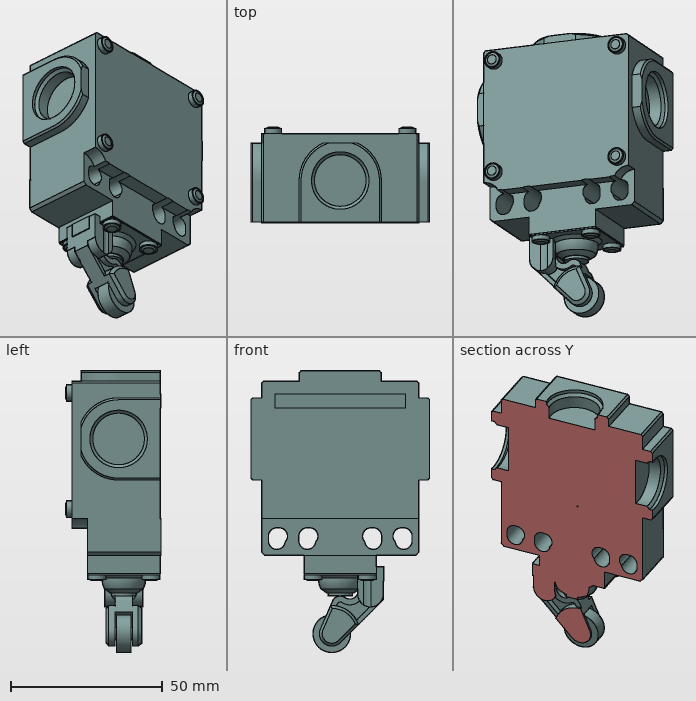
import cadquery as cq
import math


OVERALL_WIDTH = 59.0
OVERALL_HEIGHT = 93
OVERALL_TOP = 60.9
OVERALL_BOTTOM = OVERALL_TOP - OVERALL_HEIGHT

HOUSING_WIDTH = 51.9
HOUSING_HEIGHT = 57.5
BODY_DEPTH = 24.1
COVER_DEPTH = 29.2
COVER_BOTTOM = 8.8
COVER_NOTCH_RADIUS = 5.6
EDGE_CHAMFER = 0.65
RAISED = 0.3
OVERLAP = 0.9

FOOT_HEIGHT = 12.1
FOOT_CHAMFER = 1.0
MOUNT_HOLE_DIAMETER = 5.5
MOUNT_HOLE_OFFSETS = (10.9, 20.9)
MOUNT_HOLE_LOW = 4.7
MOUNT_HOLE_RISE = 1.6
MOUNT_HOLE_SHIFT = 0.7

LABEL_WIDTH = 43.05
LABEL_HEIGHT = 4.6
LABEL_CENTER_Z = 50.9

PORT_PAD_RADIUS = 13.6
PORT_CENTER_Y = 13.8
PORT_PAD_BACK = 26.1
PORT_CENTER_Z = 38.4
PORT_BORE_DIAMETER = 17.0
PORT_RECESS_DIAMETER = 19.0
PORT_RECESS_DEPTH = 1.1
PORT_DEPTH = 6.2

COVER_SCREW_DIAMETER = 5.6
COVER_SCREW_X = 22.1
COVER_SCREW_LEVELS = (15.25, 53.6)
COVER_SCREW_RIM = 1.8
COVER_SCREW_HEIGHT = 2.1
SCREW_CROWN_INSET = 1.2

HEAD_WIDTH = 23.9
HEAD_HEIGHT = 5.95
HEAD_PLATE_BOTTOM = -6.4
HEAD_PLATE_INSET = 0.1
HEAD_SCREW_DIAMETER = 5.95
HEAD_SCREW_OFFSET = 8.9
HEAD_SCREW_RIM = 1.5
HEAD_SCREW_HEIGHT = 1.95
DOME_RADIUS = 7.2
DOME_FLARE_RADIUS = 8.5
DOME_TOP = -7.5
DOME_BULGE_Z = -8.7
DOME_SHOULDER = (6.4, -11.1)
DOME_FOOT = (4.4, -12.5)
PLUNGER_DIAMETER = 8.1
PLUNGER_TIP = -13.4

LEVER_Y = BODY_DEPTH / 2
ROLLER_RADIUS = 6.2
ROLLER_WIDTH = 4.8
ROLLER_X = -2.8
ROLLER_Z = OVERALL_BOTTOM + ROLLER_RADIUS
AXLE_DIAMETER = 4.1
FORK_END_RADIUS = 4.1
FORK_TOP_RADIUS = 9.3
FORK_WIDTH = 11.9
FORK_SLOT_WIDTH = 5.7
FORK_SLOT_RADIUS = 7.25
FORK_CHAMFER_IN = 0.9
FORK_CHAMFER_ACROSS = 1.2
BUMP_Z = -16.2
BUMP_RADIUS = 2.8
HOLLOW_X = 3.2
HOLLOW_Z = -11.6
RIM_THICKNESS = 1.95
LEVER_RIGHT = 14.2
LOWER_EDGE_ANGLE = 45
LEVER_WIDTH = 5.8
LEVER_WEB_WIDTH = 1.8
LOWER_FLANGE_THICKNESS = 1.5

PIVOT_X = 9.95
PIVOT_Z = -12.8
PIVOT_RADIUS = 4.2
PIVOT_TOP = -3.7
PIVOT_WIDTH = 12.6
PIVOT_GROOVE_DIAMETER = 5.8
PIVOT_DISH_TOP = -12.5
PIVOT_DISH_BOTTOM = -15.8
PIVOT_DISH_BOTTOM_RADIUS = 6.6
PIVOT_TAB_WIDTH = 7.6
PIVOT_TAB_RIGHT = 14.5
PIVOT_TAB_BOTTOM = -8.5


def box(x0, x1, y0, y1, z0, z1):
    return cq.Workplane("XY").box(x1 - x0, y1 - y0, z1 - z0, centered=False).translate((x0, y0, z0))


def across_lever(outline, width):
    """Extrude an XZ outline to a width centred on the lever's middle plane."""
    return outline.extrude(width / 2, both=True).translate((0, LEVER_Y, 0))


def lever_disc(x, z, radius, width):
    return across_lever(cq.Workplane("XZ").center(x, z).circle(radius), width)


def housing():
    half = HOUSING_WIDTH / 2
    body = box(-half, half, 0, BODY_DEPTH, 0, HOUSING_HEIGHT)
    cover = box(-half, half, BODY_DEPTH - OVERLAP, COVER_DEPTH, COVER_BOTTOM, HOUSING_HEIGHT)
    notch_z = FOOT_HEIGHT - COVER_NOTCH_RADIUS
    for x in (-half, half):
        notch = cq.Workplane("XZ").center(x, notch_z).circle(COVER_NOTCH_RADIUS).extrude(-COVER_DEPTH)
        cover = cover.cut(notch)
    foot = box(-half, half, -RAISED, OVERLAP, 0, FOOT_HEIGHT)
    block = body.union(cover)
    block = block.faces(">Z").edges("|Y").chamfer(EDGE_CHAMFER)
    block = block.union(foot)
    block = block.faces("<Z").edges("|Y").chamfer(FOOT_CHAMFER)
    label = box(-LABEL_WIDTH / 2, LABEL_WIDTH / 2, -RAISED, OVERLAP,
                LABEL_CENTER_Z - LABEL_HEIGHT / 2, LABEL_CENTER_Z + LABEL_HEIGHT / 2)
    return block.union(label)


def round_hole(x, z):
    return (
        cq.Workplane("XZ", origin=(x, -OVERLAP, z)).circle(MOUNT_HOLE_DIAMETER / 2)
        .extrude(-COVER_DEPTH - OVERLAP)
    )


def mounting_hole(side, offset):
    """Short upright slot joined at its top to a short level slot toward the middle."""
    radius = MOUNT_HOLE_DIAMETER / 2
    x = side * offset
    shifted = x - side * MOUNT_HOLE_SHIFT
    low = MOUNT_HOLE_LOW
    high = MOUNT_HOLE_LOW + MOUNT_HOLE_RISE
    upright = box(x - radius, x + radius, -OVERLAP, COVER_DEPTH, low, high)
    level = box(min(x, shifted), max(x, shifted), -OVERLAP, COVER_DEPTH, high - radius, high + radius)
    hole = upright.union(level)
    for center in ((x, low), (x, high), (shifted, high)):
        hole = hole.union(round_hole(*center))
    return hole


def port_planes():
    """Top, left and right cable entries: face plane (local +Y is part +Y) and pad height."""
    side_height = (OVERALL_WIDTH - HOUSING_WIDTH) / 2
    half = OVERALL_WIDTH / 2
    center_y = PORT_CENTER_Y
    return [
        (cq.Plane((0, center_y, OVERALL_TOP), (1, 0, 0), (0, 0, 1)), OVERALL_TOP - HOUSING_HEIGHT),
        (cq.Plane((-half, center_y, PORT_CENTER_Z), (0, 0, 1), (-1, 0, 0)), side_height),
        (cq.Plane((half, center_y, PORT_CENTER_Z), (0, 0, -1), (1, 0, 0)), side_height),
    ]


def port_pad(plane, height):
    radius = PORT_PAD_RADIUS
    flat = PORT_PAD_BACK - PORT_CENTER_Y
    half_flat = math.sqrt(radius**2 - flat**2)
    diagonal = radius * math.sqrt(0.5)
    pad = (
        cq.Workplane(plane)
        .moveTo(-radius, -PORT_CENTER_Y)
        .lineTo(radius, -PORT_CENTER_Y)
        .lineTo(radius, 0)
        .threePointArc((diagonal, diagonal), (half_flat, flat))
        .lineTo(-half_flat, flat)
        .threePointArc((-diagonal, diagonal), (-radius, 0))
        .close()
        .extrude(-height - OVERLAP)
    )
    outer_face = pad.faces(cq.selectors.DirectionMinMaxSelector(plane.zDir))
    rim = outer_face.edges("not (<Y or >Y)")
    return rim.chamfer(EDGE_CHAMFER)


def port_bore(plane):
    bore = PORT_BORE_DIAMETER / 2
    recess = PORT_RECESS_DIAMETER / 2
    cone_end = PORT_RECESS_DEPTH + recess - bore
    profile = [
        (0, 0), (recess, 0), (recess, -PORT_RECESS_DEPTH),
        (bore, -cone_end), (bore, -PORT_DEPTH), (0, -PORT_DEPTH),
    ]
    section = cq.Plane(plane.origin, plane.xDir, plane.yDir * -1)
    return cq.Workplane(section).polyline(profile).close().revolve(360, (0, 0), (0, 1))


def screw(plane, diameter, rim, height):
    """Screw head with a conical crown, standing on a plane."""
    radius = diameter / 2
    crown = radius - SCREW_CROWN_INSET
    head = cq.Workplane(plane).circle(radius).extrude(rim)
    cone = cq.Workplane(plane).workplane(offset=rim).circle(radius - (height - rim))
    cone = cone.workplane(offset=height - rim).circle(crown).loft()
    root = cq.Workplane(plane).circle(crown).extrude(-OVERLAP)
    return head.union(cone).union(root)


def cover_screws():
    screws = cq.Workplane("XY")
    for x in (-COVER_SCREW_X, COVER_SCREW_X):
        for z in COVER_SCREW_LEVELS:
            plane = cq.Plane((x, COVER_DEPTH, z), (1, 0, 0), (0, 1, 0))
            screws = screws.add(screw(plane, COVER_SCREW_DIAMETER, COVER_SCREW_RIM, COVER_SCREW_HEIGHT))
    return screws.combine()


def actuator_head():
    half = HEAD_WIDTH / 2
    inset = HEAD_PLATE_INSET
    head = box(-half, half, 0, BODY_DEPTH, -HEAD_HEIGHT, OVERLAP)
    plate = box(-half + inset, half - inset, inset, BODY_DEPTH - inset, HEAD_PLATE_BOTTOM, 0)
    head = head.union(plate)
    for x in (-HEAD_SCREW_OFFSET, HEAD_SCREW_OFFSET):
        for y in (LEVER_Y - HEAD_SCREW_OFFSET, LEVER_Y + HEAD_SCREW_OFFSET):
            plane = cq.Plane((x, y, HEAD_PLATE_BOTTOM), (1, 0, 0), (0, 0, -1))
            head = head.union(screw(plane, HEAD_SCREW_DIAMETER, HEAD_SCREW_RIM, HEAD_SCREW_HEIGHT))
    return head


def plunger():
    tip_radius = PLUNGER_DIAMETER / 2
    return (
        cq.Workplane("XZ", origin=(0, LEVER_Y, 0))
        .moveTo(0, -HEAD_HEIGHT)
        .lineTo(DOME_FLARE_RADIUS, -HEAD_HEIGHT)
        .lineTo(DOME_FLARE_RADIUS, HEAD_PLATE_BOTTOM)
        .lineTo(DOME_RADIUS, DOME_TOP)
        .threePointArc((DOME_RADIUS, DOME_BULGE_Z), DOME_SHOULDER)
        .lineTo(*DOME_FOOT)
        .lineTo(tip_radius, DOME_FOOT[1])
        .lineTo(tip_radius, PLUNGER_TIP)
        .lineTo(0, PLUNGER_TIP)
        .close()
        .revolve(360, (0, 0), (0, 1))
    )


def lever_outline(bump_radius):
    """Lever seen along Y: fork end, bump, hollow and a lower edge rising to the pivot."""
    hollow_distance = math.hypot(HOLLOW_X, HOLLOW_Z - BUMP_Z)
    hollow_radius = hollow_distance - bump_radius
    along = (HOLLOW_X / hollow_distance, (HOLLOW_Z - BUMP_Z) / hollow_distance)
    blend = (bump_radius * along[0], BUMP_Z + bump_radius * along[1])
    hollow_bottom = (HOLLOW_X, HOLLOW_Z - hollow_radius)
    hollow_right = (HOLLOW_X + hollow_radius, HOLLOW_Z)

    def fork_point(angle):
        return (ROLLER_X + FORK_END_RADIUS * math.cos(angle), ROLLER_Z + FORK_END_RADIUS * math.sin(angle))

    reach_x = -ROLLER_X
    reach_z = BUMP_Z - ROLLER_Z
    taper = (FORK_END_RADIUS - bump_radius) / math.hypot(reach_x, reach_z)
    left_angle = math.atan2(reach_z, reach_x) + math.acos(taper)
    bump_left = (bump_radius * math.cos(left_angle), BUMP_Z + bump_radius * math.sin(left_angle))
    bump_top = (0, BUMP_Z + bump_radius)
    lower_angle = math.radians(LOWER_EDGE_ANGLE) + 1.5 * math.pi
    lower_right = fork_point(lower_angle)
    corner_z = lower_right[1] + (LEVER_RIGHT - lower_right[0]) * math.tan(math.radians(LOWER_EDGE_ANGLE))
    return (
        cq.Workplane("XZ")
        .moveTo(*bump_left)
        .threePointArc(bump_top, blend)
        .threePointArc(hollow_bottom, hollow_right)
        .lineTo(LEVER_RIGHT, HOLLOW_Z)
        .lineTo(LEVER_RIGHT, corner_z)
        .lineTo(*lower_right)
        .threePointArc(fork_point((left_angle + lower_angle) / 2), fork_point(left_angle))
        .close()
    )


def fork():
    full = across_lever(lever_outline(BUMP_RADIUS), FORK_WIDTH)
    cheeks = full.intersect(lever_disc(ROLLER_X, ROLLER_Z, FORK_TOP_RADIUS, FORK_WIDTH))
    for side in ("<Y", ">Y"):
        cheeks = cheeks.faces(side).chamfer(FORK_CHAMFER_IN, FORK_CHAMFER_ACROSS)
    return cheeks


def lever_pockets():
    """Recess on each side of the lever, leaving a rim along its top and a flange along its lower edge."""
    inside = across_lever(lever_outline(BUMP_RADIUS - RIM_THICKNESS), LEVER_WIDTH + OVERLAP)
    outer = across_lever(lever_outline(BUMP_RADIUS), LEVER_WIDTH + OVERLAP)
    slope = math.radians(LOWER_EDGE_ANGLE)
    above_flange = outer.translate(
        (-LOWER_FLANGE_THICKNESS * math.sin(slope), 0, LOWER_FLANGE_THICKNESS * math.cos(slope))
    )
    web = box(-OVERALL_WIDTH, OVERALL_WIDTH, LEVER_Y - LEVER_WEB_WIDTH / 2, LEVER_Y + LEVER_WEB_WIDTH / 2,
              OVERALL_BOTTOM, 0)
    return inside.intersect(above_flange).cut(web)


def pivot():
    """Round-ended block at the lever's pivot, grooved by the screw clearance and dished for the dome."""
    half = PIVOT_WIDTH / 2
    left = PIVOT_X - PIVOT_RADIUS
    block = lever_disc(PIVOT_X, PIVOT_Z, PIVOT_RADIUS, PIVOT_WIDTH)
    block = block.union(box(left, LEVER_RIGHT, LEVER_Y - half, LEVER_Y + half, PIVOT_Z, PIVOT_TOP))

    tab_half = PIVOT_TAB_WIDTH / 2
    tab = box(PIVOT_X, PIVOT_TAB_RIGHT, LEVER_Y - tab_half, LEVER_Y + tab_half, PIVOT_TAB_BOTTOM, PIVOT_TOP)
    block = block.union(tab)

    screw_centers = [(HEAD_SCREW_OFFSET, LEVER_Y + dy) for dy in (-HEAD_SCREW_OFFSET, HEAD_SCREW_OFFSET)]
    grooves = (
        cq.Workplane("XY").pushPoints(screw_centers)
        .circle(PIVOT_GROOVE_DIAMETER / 2).extrude(PIVOT_Z - 2 * PIVOT_RADIUS)
    )
    dish_profile = [
        (0, DOME_TOP), (DOME_RADIUS, DOME_TOP), (DOME_RADIUS, PIVOT_DISH_TOP),
        (PIVOT_DISH_BOTTOM_RADIUS, PIVOT_DISH_BOTTOM), (0, PIVOT_DISH_BOTTOM),
    ]
    dish = (
        cq.Workplane("XZ", origin=(0, LEVER_Y, 0)).polyline(dish_profile).close()
        .revolve(360, (0, 0), (0, 1))
    )
    return block.cut(grooves).cut(dish)


def lever():
    bar = across_lever(lever_outline(BUMP_RADIUS), LEVER_WIDTH)
    arm = bar.cut(lever_pockets()).union(fork()).union(pivot())
    arm = arm.cut(lever_disc(ROLLER_X, ROLLER_Z, FORK_SLOT_RADIUS, FORK_SLOT_WIDTH))
    roller = lever_disc(ROLLER_X, ROLLER_Z, ROLLER_RADIUS, ROLLER_WIDTH)
    axle = lever_disc(ROLLER_X, ROLLER_Z, AXLE_DIAMETER / 2, FORK_SLOT_WIDTH + OVERLAP)
    return arm.union(axle).union(roller)


result = housing()
for port_plane, pad_height in port_planes():
    result = result.union(port_pad(port_plane, pad_height)).cut(port_bore(port_plane))
for side in (-1, 1):
    for offset in MOUNT_HOLE_OFFSETS:
        result = result.cut(mounting_hole(side, offset))
result = result.union(cover_screws())
result = result.union(actuator_head()).union(plunger()).union(lever())